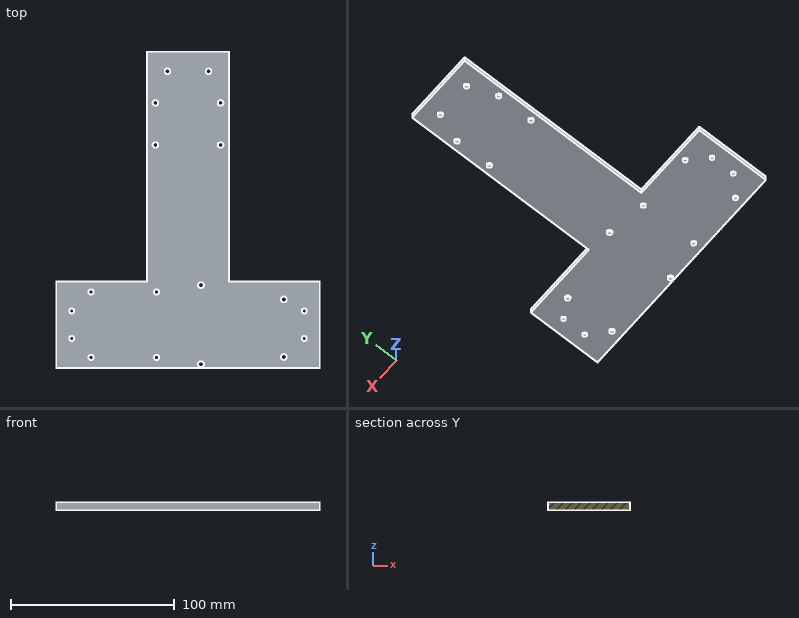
import cadquery as cq

overall_length = 193.0
bar_length = 160.8
bar_width = 52.9
stem_width = 50.2
thickness = 5.0
bar_middle_y = bar_width / 2

stem_hole_diameter = 3.3
stem_side_spacing = 39.8
stem_side_rows = (136.0, 161.7)
stem_tip_spacing = 25.0
stem_tip_row = 181.0

end_hole_diameter = 2.9
end_hole_x_spacing = 141.9
end_hole_y_spacing = 16.8

square_hole_diameter = 3.0
square_spacing = 40.0
square_center_x = -39.2

large_hole_diameter = 3.5
wide_pair_x = 8.0
wide_pair_spacing = 48.2
right_pair_x = 58.5
right_pair_spacing = 35.1
right_pair_middle_y = 24.3


def box_between(width, y_start, y_end):
    """Plate strip centred on X, standing on the XY plane."""
    length = y_end - y_start
    return (
        cq.Workplane("XY")
        .center(0, y_start + length / 2)
        .rect(width, length)
        .extrude(thickness)
    )


def pair_along_y(x, middle_y, spacing):
    return [(x, middle_y - spacing / 2), (x, middle_y + spacing / 2)]


def pair_along_x(spacing, y):
    return [(-spacing / 2, y), (spacing / 2, y)]


def drill(plate, points, diameter):
    """Cut through holes at the given XY points."""
    cutters = cq.Workplane("XY").pushPoints(points).circle(diameter / 2).extrude(thickness)
    return plate.cut(cutters)


plate = box_between(bar_length, 0, bar_width).union(box_between(stem_width, 0, overall_length))

stem_holes = pair_along_x(stem_tip_spacing, stem_tip_row)
for row in stem_side_rows:
    stem_holes += pair_along_x(stem_side_spacing, row)

end_holes = []
square_holes = []
for side in (-1, 1):
    end_x = side * end_hole_x_spacing / 2
    end_holes += pair_along_y(end_x, bar_middle_y, end_hole_y_spacing)
    square_x = square_center_x + side * square_spacing / 2
    square_holes += pair_along_y(square_x, bar_middle_y, square_spacing)

large_holes = pair_along_y(wide_pair_x, bar_middle_y, wide_pair_spacing)
large_holes += pair_along_y(right_pair_x, right_pair_middle_y, right_pair_spacing)

plate = drill(plate, stem_holes, stem_hole_diameter)
plate = drill(plate, end_holes, end_hole_diameter)
plate = drill(plate, square_holes, square_hole_diameter)
result = drill(plate, large_holes, large_hole_diameter)